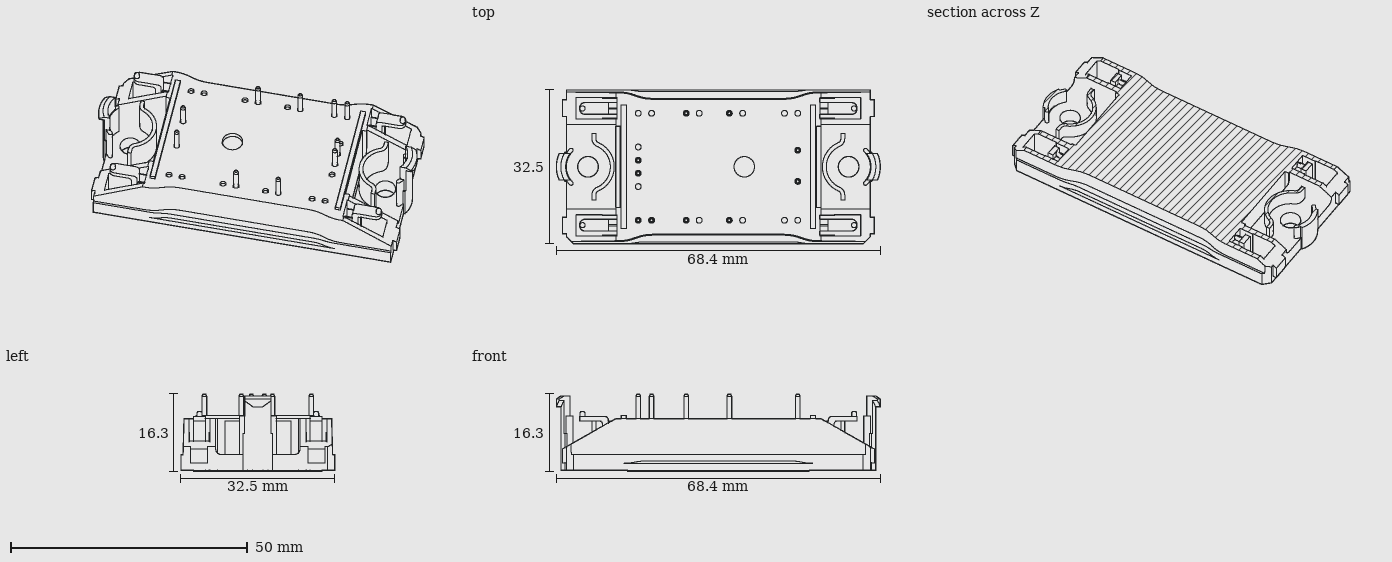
import cadquery as cq
import math

case_bottom = 0.2
case_half_length = 32.1
skirt_width = 32.5
skirt_half_width = skirt_width / 2
skirt_top = 3.55
deck_top = 11.15
corner_chamfer = 1.5

body_half_width = 15.8
waist_depth = 1.4
waist_start = 21.1
waist_end = 13.9
body_draft = 1.5

groove_start = 19.9
groove_end = 15.3
groove_depth = 0.4
groove_bottom = 1.7
groove_floor_rise = 0.5

slope_top_x = 21.6
slope_end_z = 5.2

floor_half_width = 8.9
floor_end_x = 21.6
floor_fillet = 1.15
wall_x = 20.7
slot_half_width = 8.55

window_outer_x = 30.0
window_inner_x = 21.4
window_y_min = 10.1
window_y_max = 14.6

tab_outer_x = 32.9
tab_y_min = 10.6
tab_y_max = 14.15
tab_bottom = 1.8

hole_x = 27.5
hole_diameter = 4.3
guard_radius = 5.1
guard_thickness = 0.8
guard_end_y = 7.0
guard_top = 10.6
guard_bend_radius = 1.4
guard_leg_x = 26.25

clip_inner_radius = 4.7
clip_outer_radius = 5.75
clip_lip_radius = 6.7
clip_half_width = 2.8
clip_base_half_width = 3.1
clip_base_top = 8.0
clip_top = 15.95
lip_bottom = 13.6
lip_edge_top = 15.25
lip_side_bottom = 14.9
lip_bottom_half_width = 1.0
wing_top = 11.7
wing_radius = 5.0
wing_angle = 44.5

arm_y = 12.3
arm_width = 2.5
arm_tip_x = 29.3
arm_tip_radius = 1.15
arm_bend_x = 23.2
arm_top = 11.6
tongue_thickness = 1.0
leg_thickness = 1.2
arm_outer_bend = 0.8
arm_inner_bend = 0.7
foot_top = 5.5
foot_rib_top = 8.2
foot_rib_thickness = 0.3
knob_x = 28.65
knob_diameter = 1.1
knob_top = 12.65
knob_rounding = 0.4

jamb_x = 24.5
jamb_thickness = 0.15
jamb_top = 8.2

ridge_x = 20.0
ridge_width = 1.1
ridge_half_length = 13.0
ridge_top = 11.8

plate_half_length = 19.15
plate_half_width = 13.55

pin_diameter = 1.0
pin_top = 16.3
pin_tip_height = 0.5
pin_tip_inset = 0.2
pin_hole_diameter = 1.2
pin_hole_depth = 0.7
pin_row_y = 11.3
pin_row_x = (-16.9, -14.1, -6.8, -4.05, 2.3, 5.1, 13.95, 16.75)
left_column_y = (-4.2, -1.4, 1.4, 4.2)
right_column_y = (-3.1, 3.5)
pin_hole_places = [(x, y) for x in pin_row_x for y in (-pin_row_y, pin_row_y)]
pin_hole_places += [(pin_row_x[0], y) for y in left_column_y]
pin_hole_places += [(pin_row_x[-1], y) for y in right_column_y]
pin_places = [(x, -pin_row_y) for x in (pin_row_x[0], pin_row_x[1], pin_row_x[2], pin_row_x[4])]
pin_places += [(x, pin_row_y) for x in (pin_row_x[2], pin_row_x[4])]
pin_places += [(pin_row_x[0], y) for y in left_column_y[1:3]]
pin_places += [(pin_row_x[-1], y) for y in right_column_y]

marker_diameter = 4.3
marker_x = 5.5
marker_depth = 1.0


def block(x_min, x_max, y_min, y_max, z_min, z_max):
    """Axis-aligned box given by its limits."""
    size = (x_max - x_min, y_max - y_min, z_max - z_min)
    return cq.Workplane("XY").box(*size, centered=False).translate((x_min, y_min, z_min))


def cylinder(x, y, diameter, z_min, z_max):
    return cq.Workplane("XY", origin=(x, y, z_min)).circle(diameter / 2).extrude(z_max - z_min)


def both_ends(shape):
    """The shape and its mirror image at the other end of the part."""
    return shape.union(shape.mirror("YZ"))


def waisted_outline(z, half_length, half_width, start, end, depth):
    """Outline whose long sides step inwards by two tangent arcs near each end."""
    run = (start - end) / 2
    bend_radius = (run**2 + (depth / 2) ** 2) / depth
    angle = math.asin(run / bend_radius) / 2
    dx = bend_radius * math.sin(angle)
    dy = bend_radius * (1 - math.cos(angle))
    low = half_width - depth
    middle_x = (start + end) / 2
    middle_y = half_width - depth / 2

    outline = cq.Workplane("XY", origin=(0, 0, z)).moveTo(-half_length, -half_width)
    outline = outline.lineTo(-start, -half_width)
    outline = outline.threePointArc((dx - start, dy - half_width), (-middle_x, -middle_y))
    outline = outline.threePointArc((-end - dx, -low - dy), (-end, -low)).lineTo(end, -low)
    outline = outline.threePointArc((end + dx, -low - dy), (middle_x, -middle_y))
    outline = outline.threePointArc((start - dx, dy - half_width), (start, -half_width))
    outline = outline.lineTo(half_length, -half_width).lineTo(half_length, half_width)
    outline = outline.lineTo(start, half_width)
    outline = outline.threePointArc((start - dx, half_width - dy), (middle_x, middle_y))
    outline = outline.threePointArc((end + dx, low + dy), (end, low)).lineTo(-end, low)
    outline = outline.threePointArc((-end - dx, low + dy), (-middle_x, middle_y))
    outline = outline.threePointArc((dx - start, half_width - dy), (-start, half_width))
    return outline.lineTo(-half_length, half_width).close()


def skirt():
    body = block(-case_half_length, case_half_length, -skirt_half_width, skirt_half_width,
                 case_bottom, skirt_top)
    core = waisted_outline(case_bottom, case_half_length, skirt_half_width,
                           groove_start, groove_end, groove_depth).extrude(skirt_top - case_bottom)
    outer = skirt_half_width
    inner = skirt_half_width - groove_depth
    strip = (cq.Workplane("YZ", origin=(-groove_start, 0, 0))
             .polyline([(inner, case_bottom), (outer, case_bottom), (outer, groove_bottom),
                        (inner, groove_bottom + groove_floor_rise)]).close()
             .extrude(2 * groove_start))
    strips = strip.union(strip.mirror("XZ"))
    return core.union(strips).intersect(body)


def upper_body():
    overrun = 3.4
    body = waisted_outline(skirt_top, case_half_length + overrun, body_half_width,
                           waist_start, waist_end, waist_depth)
    body = body.extrude(deck_top - skirt_top, taper=body_draft)
    profile = (cq.Workplane("XZ", origin=(0, skirt_half_width, 0))
               .polyline([(-case_half_length, skirt_top), (case_half_length, skirt_top),
                          (case_half_length, slope_end_z), (slope_top_x, deck_top),
                          (-slope_top_x, deck_top), (-case_half_length, slope_end_z)]).close()
               .extrude(2 * skirt_half_width))
    return body.intersect(profile)


def end_tabs():
    """Tabs on the left end face whose tops continue the end slope."""
    slope = (deck_top - slope_end_z) / (case_half_length - slope_top_x)
    tip_z = slope_end_z - slope * (tab_outer_x - case_half_length)
    tab = (cq.Workplane("XZ", origin=(0, tab_y_max, 0))
           .polyline([(-case_half_length, tab_bottom), (-tab_outer_x, tab_bottom),
                      (-tab_outer_x, tip_z), (-case_half_length, slope_end_z)]).close()
           .extrude(tab_y_max - tab_y_min))
    return tab.union(tab.mirror("XZ"))


def floor_pocket():
    """Space above the left mounting floor, with the slot before the main wall."""
    pocket = block(-case_half_length, -floor_end_x, -floor_half_width, floor_half_width,
                   skirt_top, deck_top)
    pocket = pocket.edges("|X and <Z").fillet(floor_fillet)
    slot = block(-floor_end_x, -wall_x, -slot_half_width, slot_half_width, case_bottom, deck_top)
    return pocket.union(slot)


def windows():
    """Through openings in the left rails, slightly narrower near the main wall."""
    window = block(-window_outer_x, -window_inner_x, window_y_min, window_y_max, case_bottom, deck_top)
    for y in (window_y_min, window_y_max - jamb_thickness):
        window = window.cut(block(-jamb_x, -window_inner_x, y, y + jamb_thickness, case_bottom, jamb_top))
    return window.union(window.mirror("XZ"))


def guard_side(offset):
    """Trace one face of the guard wall, offset outwards from its centreline."""
    radius = guard_radius + offset
    bend = guard_bend_radius - offset
    bend_dx = hole_x - guard_leg_x + guard_bend_radius
    reach = guard_radius + guard_bend_radius
    bend_y = math.sqrt(reach**2 - bend_dx**2)
    join_angle = math.atan2(bend_y, bend_dx)
    bend_angle = math.pi + join_angle / 2
    leg_x = bend_dx - bend

    def at(x, y):
        return (x - hole_x, y)

    join = (radius * math.cos(join_angle), radius * math.sin(join_angle))
    middle = (bend_dx + bend * math.cos(bend_angle), bend_y + bend * math.sin(bend_angle))
    return [at(leg_x, guard_end_y), at(leg_x, bend_y), at(*middle), at(*join), at(radius, 0)]


def guard_wall():
    """S-shaped wall around the inner side of the left mounting hole."""
    outer = guard_side(guard_thickness / 2)
    inner = guard_side(-guard_thickness / 2)

    def low(point):
        return (point[0], -point[1])

    wall = cq.Workplane("XY", origin=(0, 0, skirt_top)).moveTo(*outer[0]).lineTo(*outer[1])
    wall = wall.threePointArc(outer[2], outer[3]).threePointArc(outer[4], low(outer[3]))
    wall = wall.threePointArc(low(outer[2]), low(outer[1])).lineTo(*low(outer[0]))
    wall = wall.lineTo(*low(inner[0])).lineTo(*low(inner[1]))
    wall = wall.threePointArc(low(inner[2]), low(inner[3])).threePointArc(inner[4], inner[3])
    wall = wall.threePointArc(inner[2], inner[1]).lineTo(*inner[0]).close()
    return wall.extrude(guard_top - skirt_top)


def clip():
    """Upright latch at the left end, turned about the mounting hole axis."""
    ring = (cq.Workplane("XZ")
            .polyline([(clip_inner_radius, case_bottom), (clip_outer_radius, case_bottom),
                       (clip_outer_radius, clip_top), (clip_inner_radius, clip_top)]).close()
            .revolve(360, (0, 0, 0), (0, 1, 0)).translate((-hole_x, 0, 0)))
    outer_x = -hole_x - clip_lip_radius
    stem = block(outer_x, -hole_x, -clip_half_width, clip_half_width, case_bottom, clip_top)
    base = block(outer_x, -hole_x, -clip_base_half_width, clip_base_half_width,
                 case_bottom, clip_base_top)

    lip = (cq.Workplane("XZ")
           .polyline([(clip_inner_radius, lip_bottom), (clip_lip_radius, lip_bottom),
                      (clip_lip_radius, lip_edge_top), (clip_outer_radius, clip_top),
                      (clip_inner_radius, clip_top)]).close()
           .revolve(360, (0, 0, 0), (0, 1, 0)).translate((-hole_x, 0, 0)))
    lip_face = (cq.Workplane("YZ", origin=(outer_x, 0, 0))
                .polyline([(-lip_bottom_half_width, lip_bottom), (lip_bottom_half_width, lip_bottom),
                           (clip_half_width, lip_side_bottom), (clip_half_width, clip_top),
                           (-clip_half_width, clip_top), (-clip_half_width, lip_side_bottom)]).close()
                .extrude(clip_lip_radius))
    return ring.intersect(stem.union(base)).union(lip.intersect(lip_face))


def clip_wings():
    """Lower curved walls on both sides of the latch, with rounded ends."""
    end = math.radians(wing_angle)
    end_x = -hole_x - wing_radius * math.cos(end)
    end_y = wing_radius * math.sin(end)
    height = wing_top - skirt_top
    wings = (cq.Workplane("XY", origin=(-hole_x, 0, skirt_top))
             .circle(wing_radius + guard_thickness / 2).circle(wing_radius - guard_thickness / 2)
             .extrude(height))
    reach = wing_radius * 2
    sector = (cq.Workplane("XY", origin=(-hole_x, 0, skirt_top))
              .polyline([(0, 0), (-reach * math.cos(end), reach * math.sin(end)),
                         (-reach * math.cos(end), -reach * math.sin(end))]).close()
              .extrude(height))
    wings = wings.intersect(sector)
    for y in (-end_y, end_y):
        wings = wings.union(cylinder(end_x, y, guard_thickness, skirt_top, wing_top))
    return wings


def contact_arms():
    """Bent arms over the left windows: tongue, leg, foot with a rib, and knob."""
    tongue_bottom = arm_top - tongue_thickness
    leg_x = arm_bend_x + leg_thickness
    y_min = arm_y - arm_width / 2
    y_max = arm_y + arm_width / 2
    arm = (cq.Workplane("XZ", origin=(0, y_max, 0))
           .polyline([(-arm_tip_x, arm_top), (-arm_bend_x, arm_top), (-arm_bend_x, case_bottom),
                      (-leg_x, case_bottom), (-leg_x, tongue_bottom), (-arm_tip_x, tongue_bottom)])
           .close().extrude(arm_width))
    arm = arm.edges("|Z and <X").fillet(arm_tip_radius)
    arm = arm.edges("|Y and >X and >Z").fillet(arm_outer_bend)
    inner_corner = cq.selectors.NearestToPointSelector((-leg_x, arm_y, tongue_bottom))
    arm = arm.edges(inner_corner).fillet(arm_inner_bend)

    foot = block(-arm_bend_x, -window_inner_x, y_min, y_max, case_bottom, foot_top)
    rib = block(-arm_bend_x, -window_inner_x, arm_y - foot_rib_thickness / 2,
                arm_y + foot_rib_thickness / 2, foot_top, foot_rib_top)
    knob = cylinder(-knob_x, arm_y, knob_diameter, arm_top, knob_top)
    knob = knob.faces(">Z").edges().fillet(knob_rounding)
    arm = arm.union(foot).union(rib).union(knob)
    return arm.union(arm.mirror("XZ"))


def contact_pins():
    pins = (cq.Workplane("XY", origin=(0, 0, deck_top - pin_hole_depth))
            .pushPoints(pin_places).circle(pin_diameter / 2)
            .extrude(pin_top - deck_top + pin_hole_depth))
    return pins.faces(">Z").chamfer(pin_tip_height, pin_tip_inset)


def deck_recesses():
    """Pin holes and the round marker recess in the deck."""
    holes = (cq.Workplane("XY", origin=(0, 0, deck_top)).pushPoints(pin_hole_places)
             .circle(pin_hole_diameter / 2).extrude(-pin_hole_depth))
    return holes.union(cylinder(marker_x, 0, marker_diameter, deck_top - marker_depth, deck_top))


def deck_ridge():
    return block(-ridge_x - ridge_width / 2, -ridge_x + ridge_width / 2,
                 -ridge_half_length, ridge_half_length, deck_top, ridge_top)


def corner_cut():
    """Triangular prism removed from the left front corner."""
    x, y = -case_half_length, -skirt_half_width
    return (cq.Workplane("XY")
            .polyline([(x, y), (x + corner_chamfer, y), (x, y + corner_chamfer)]).close()
            .extrude(deck_top))


base_plate = block(-plate_half_length, plate_half_length, -plate_half_width, plate_half_width,
                   0, case_bottom)
end_openings = floor_pocket().union(windows()).union(corner_cut())
case = skirt().union(upper_body()).union(base_plate)
case = case.cut(both_ends(end_openings)).cut(deck_recesses())

fittings = clip().union(clip_wings()).union(guard_wall()).union(contact_arms())
fittings = fittings.union(end_tabs()).union(deck_ridge())
mounting_hole = cylinder(-hole_x, 0, hole_diameter, 0, skirt_top)

result = case.union(both_ends(fittings)).cut(both_ends(mounting_hole)).union(contact_pins())